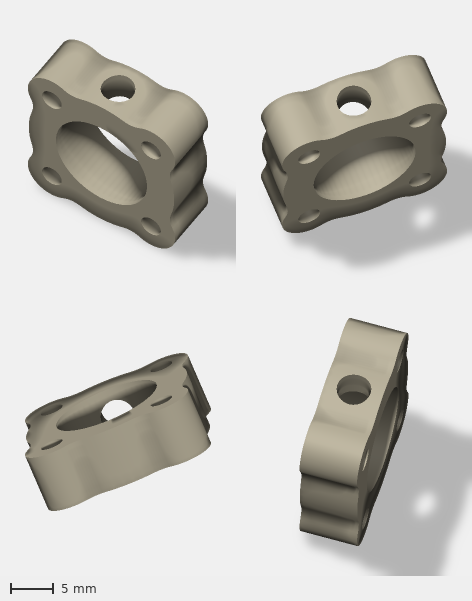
import cadquery as cq
import math

width = 20.57
thickness = 7.0
bolt_offset = 6.91
bolt_diameter = 2.74
bore_diameter = 12.71
body_radius = 10.16
blend_radius = 3.0
port_diameter = 4.03

lobe_radius = width / 2 - bolt_offset
bolt_points = [(x, z) for x in (-bolt_offset, bolt_offset) for z in (-bolt_offset, bolt_offset)]


def polar(radius, angle):
    return (radius * math.cos(angle), radius * math.sin(angle))


def toward(start, end, distance):
    """Point at the given distance from start on the line to end."""
    share = distance / math.dist(start, end)
    return tuple(a + (b - a) * share for a, b in zip(start, end))


lobe_distance = bolt_offset * math.sqrt(2)
blend_distance = body_radius + blend_radius
blend_angle = math.acos(
    (lobe_distance**2 + blend_distance**2 - (lobe_radius + blend_radius) ** 2)
    / (2 * lobe_distance * blend_distance)
)


def add_corner(outline, corner_angle):
    """Draw blend, lobe, blend and the next body arc, counterclockwise."""
    lobe_center = polar(lobe_distance, corner_angle)
    first_blend = polar(blend_distance, corner_angle - blend_angle)
    second_blend = polar(blend_distance, corner_angle + blend_angle)
    lobe_start = toward(lobe_center, first_blend, lobe_radius)
    lobe_end = toward(lobe_center, second_blend, lobe_radius)
    lobe_tip = polar(lobe_distance + lobe_radius, corner_angle)
    body_start = polar(body_radius, corner_angle + blend_angle)
    body_middle = polar(body_radius, corner_angle + math.pi / 4)
    body_end = polar(body_radius, corner_angle + math.pi / 2 - blend_angle)
    return (
        outline.radiusArc(lobe_start, blend_radius)
        .threePointArc(lobe_tip, lobe_end)
        .radiusArc(body_start, blend_radius)
        .threePointArc(body_middle, body_end)
    )


back_face = cq.Workplane("XZ", origin=(0, thickness / 2, 0))

outline = back_face.moveTo(*polar(body_radius, math.pi / 4 - blend_angle))
for corner in range(4):
    outline = add_corner(outline, math.pi / 4 + corner * math.pi / 2)
plate = outline.close().extrude(thickness)

bore = back_face.circle(bore_diameter / 2).extrude(thickness)
bolts = back_face.pushPoints(bolt_points).circle(bolt_diameter / 2).extrude(thickness)

port = cq.Workplane("XY").circle(port_diameter / 2).extrude(width)

result = plate.cut(bore).cut(bolts).cut(port)